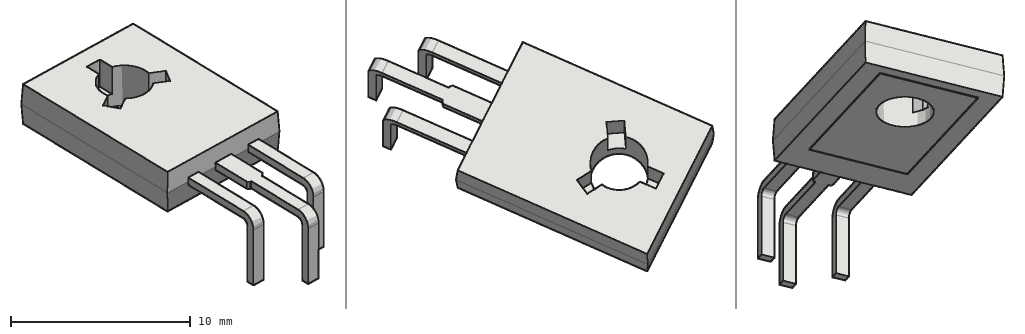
import cadquery as cq

OVERALL_LENGTH = 19.05
OVERALL_HEIGHT = 5.75
BODY_LENGTH = 11.8
BODY_WIDTH = 8.6
BODY_HEIGHT = 2.7
HALF_HEIGHT = BODY_HEIGHT / 2
DRAFT_ANGLE = 3

HOLE_DIAMETER = 3.2
HOLE_FROM_END = 3.8
NOTCH_COUNT = 3
NOTCH_WIDTH = 1.0
NOTCH_REACH = 2.5
NOTCH_DEPTH = 1.85

BODY_START = -HOLE_FROM_END
BODY_END = BODY_START + BODY_LENGTH
BODY_CENTER = (BODY_START + BODY_END) / 2

PAD_LENGTH = 9.05
PAD_WIDTH = 6.05
PAD_FROM_END = 0.72
PAD_PROUD = 0.05

LEAD_THICKNESS = 0.5
LEAD_WIDTH = 0.8
LEAD_PITCH = 2.3
LEAD_STAGGER = 2.0
LEAD_EMBED = 0.5
BEND_OUTER_RADIUS = 0.85
BEND_INNER_RADIUS = BEND_OUTER_RADIUS - LEAD_THICKNESS
LEAD_TIP_Z = HALF_HEIGHT - OVERALL_HEIGHT
CENTER_LEAD_X = BODY_START + OVERALL_LENGTH
SIDE_LEAD_X = CENTER_LEAD_X - LEAD_STAGGER

ROOT_WIDTH = 1.22
ROOT_LENGTH = 2.65
ROOT_CHAMFER = 0.13


def make_body():
    def half(direction):
        return (
            cq.Workplane("XY")
            .center(BODY_CENTER, 0)
            .rect(BODY_LENGTH, BODY_WIDTH)
            .extrude(direction * HALF_HEIGHT, taper=DRAFT_ANGLE)
        )

    return half(1).union(half(-1))


def make_pad():
    return (
        cq.Workplane("XY")
        .box(PAD_LENGTH, PAD_WIDTH, HALF_HEIGHT + PAD_PROUD, centered=(False, True, False))
        .translate((BODY_START + PAD_FROM_END, 0, -HALF_HEIGHT - PAD_PROUD))
    )


def make_lead(outer_x, center_y):
    """Lead that leaves the body along +X and bends down to its tip."""
    inner_x = outer_x - LEAD_THICKNESS
    top_z = LEAD_THICKNESS / 2
    return (
        cq.Workplane("XZ")
        .moveTo(BODY_END - LEAD_EMBED, top_z)
        .lineTo(outer_x - BEND_OUTER_RADIUS, top_z)
        .radiusArc((outer_x, top_z - BEND_OUTER_RADIUS), BEND_OUTER_RADIUS)
        .lineTo(outer_x, LEAD_TIP_Z)
        .lineTo(inner_x, LEAD_TIP_Z)
        .lineTo(inner_x, -top_z - BEND_INNER_RADIUS)
        .radiusArc((inner_x - BEND_INNER_RADIUS, -top_z), -BEND_INNER_RADIUS)
        .lineTo(BODY_END - LEAD_EMBED, -top_z)
        .close()
        .extrude(LEAD_WIDTH / 2, both=True)
        .translate((0, center_y, 0))
    )


def make_center_lead_root():
    return (
        cq.Workplane("XY")
        .box(LEAD_EMBED + ROOT_LENGTH, ROOT_WIDTH, LEAD_THICKNESS, centered=(False, True, True))
        .edges("|Z and >X")
        .chamfer(ROOT_CHAMFER)
        .translate((BODY_END - LEAD_EMBED, 0, 0))
    )


def make_mounting_hole():
    """Plain cylinder cutter, longer than the body and pad at both ends."""
    cutter_length = 2 * BODY_HEIGHT
    return cq.Workplane("XY", origin=(0, 0, -BODY_HEIGHT)).circle(HOLE_DIAMETER / 2).extrude(cutter_length)


def make_notch(angle):
    """Radial notch cutter that opens on the top face and into the hole."""
    return (
        cq.Workplane("XY")
        .box(NOTCH_REACH, NOTCH_WIDTH, NOTCH_DEPTH, centered=(False, True, False))
        .translate((0, 0, HALF_HEIGHT - NOTCH_DEPTH))
        .rotate((0, 0, 0), (0, 0, 1), angle)
    )


result = make_body().union(make_pad()).cut(make_mounting_hole())
for index in range(NOTCH_COUNT):
    result = result.cut(make_notch(180 + index * 360 / NOTCH_COUNT))

for side in (-1, 1):
    result = result.union(make_lead(SIDE_LEAD_X, side * LEAD_PITCH))
result = result.union(make_lead(CENTER_LEAD_X, 0)).union(make_center_lead_root())